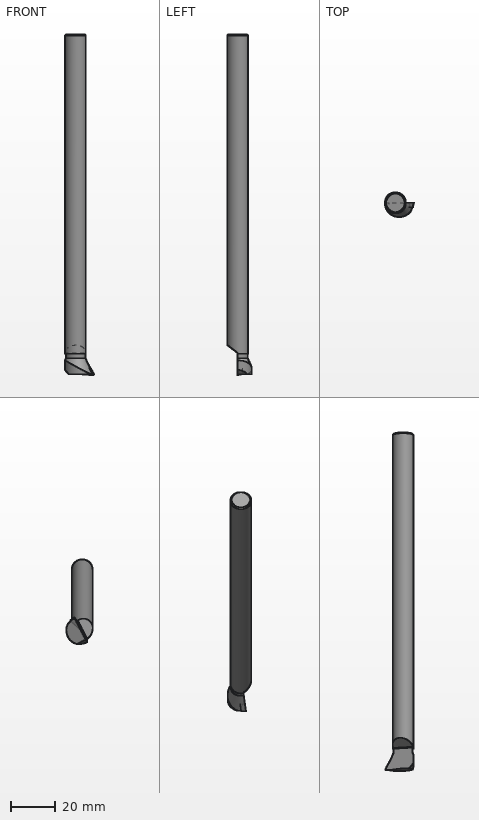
import cadquery as cq

total_length = 153.6
shank_radius = 4.8
shank_chamfer = 0.6
shank_bottom = 9.7
relief_start = 10.1
relief_top = 13.7
rake_y = 0.2

neck_radius = 4.5
neck_shift = 0.2
neck_bottom = 7.7
head_radius = 6.5
head_x = head_radius - shank_radius
head_bottom = 0.5
heel_chamfer_x = 1.7
heel_chamfer_z = 2.0
cone_base_radius = 7.7

tip_root_x = 1.5
tip_shoulder_x = 4.5
tip_shoulder_z = 7.4
tip_reach = 8.5
tip_corner = 0.5
tip_depth = 2.2
tip_taper = 11.0


def make_shank():
    shank = (
        cq.Workplane("XY", origin=(0, 0, shank_bottom))
        .circle(shank_radius)
        .extrude(total_length - shank_bottom)
        .faces(">Z")
        .chamfer(shank_chamfer)
    )
    relief = (
        cq.Workplane("YZ")
        .moveTo(rake_y, shank_bottom)
        .lineTo(rake_y, relief_start)
        .lineTo(shank_radius, relief_top)
        .lineTo(shank_radius, shank_bottom)
        .close()
        .extrude(shank_radius, both=True)
    )
    return shank.cut(relief)


def make_tip():
    """Wedge with its widest face on the rake plane, narrowing toward -Y for clearance."""
    return (
        cq.Workplane("XZ", origin=(0, rake_y, 0))
        .moveTo(tip_root_x, tip_corner)
        .lineTo(tip_root_x, tip_shoulder_z)
        .lineTo(tip_shoulder_x, tip_shoulder_z)
        .lineTo(tip_reach, tip_corner)
        .lineTo(tip_reach - tip_corner, 0)
        .close()
        .extrude(tip_depth, taper=tip_taper)
    )


def make_head():
    core = (
        cq.Workplane("XY", origin=(head_x, 0, head_bottom))
        .circle(head_radius)
        .extrude(neck_bottom - head_bottom)
    )
    back_cone = (
        cq.Workplane("XZ")
        .moveTo(0, head_bottom)
        .lineTo(cone_base_radius, head_bottom)
        .lineTo(neck_radius, neck_bottom)
        .lineTo(0, neck_bottom)
        .close()
        .revolve(360, (0, 0, 0), (0, 1, 0))
        .translate((neck_shift, -neck_shift, 0))
    )
    heel_chamfer = (
        cq.Workplane("XZ")
        .moveTo(-shank_radius, head_bottom)
        .lineTo(-shank_radius + heel_chamfer_x, head_bottom)
        .lineTo(-shank_radius, head_bottom + heel_chamfer_z)
        .close()
        .extrude(head_radius, both=True)
    )
    neck = (
        cq.Workplane("XY", origin=(neck_shift, -neck_shift, neck_bottom))
        .circle(neck_radius)
        .extrude(shank_bottom - neck_bottom)
    )
    rake_clearance = cq.Workplane("XY").box(
        2 * total_length, total_length, shank_bottom, centered=(True, False, False)
    ).translate((0, rake_y, 0))
    head = core.intersect(back_cone).cut(heel_chamfer).union(neck)
    return head.cut(rake_clearance).union(make_tip())


shank = make_shank()
head = make_head()
result = cq.Compound.makeCompound([shank.val(), head.solids().val()])